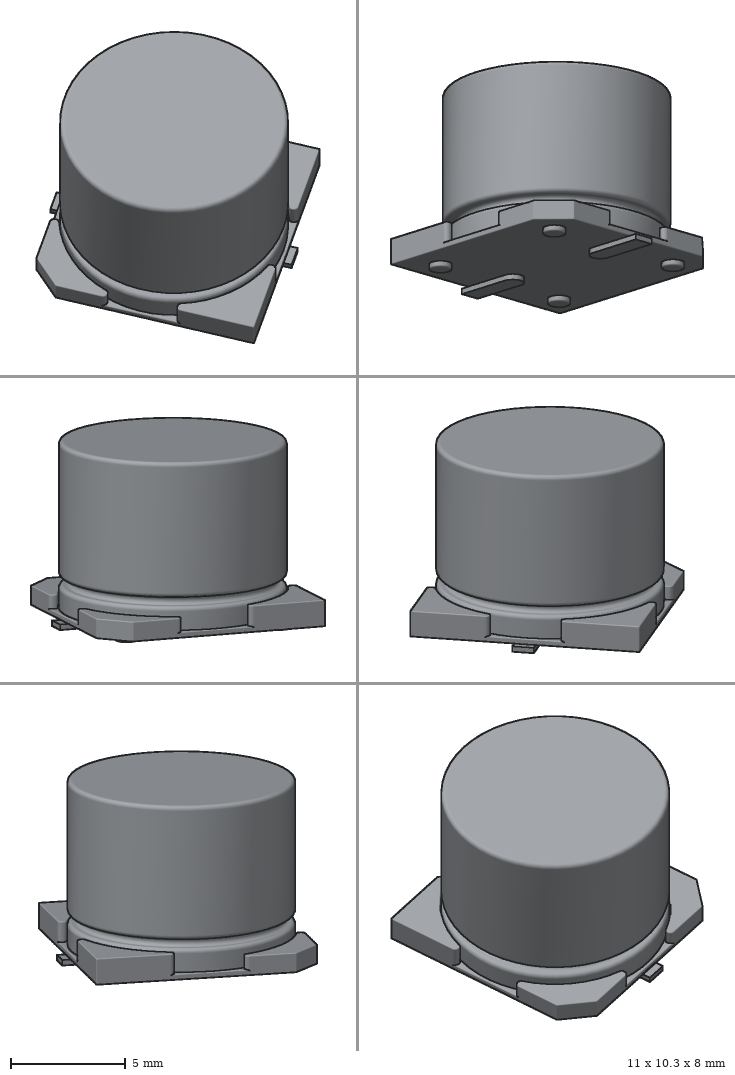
import cadquery as cq
import math

total_height = 8.0
lead_thickness = 0.25
floor_height = 0.52
low_corner_height = 1.14
high_corner_height = 1.44
bead_start = 1.36

base_size = 10.3
corner_chamfer = 1.25
edge_round = 0.05
pocket_radius = 5.05
notch_half_width = 1.6
notch_outer_round = 0.2
notch_inner_round = 0.15

can_radius = 10.0 / 2
bead_radius = 0.2
groove_radius = 0.2
groove_offset = 0.1
top_round = 0.2

lead_span = 11
lead_width = 0.97
lead_inner_end = 2.28
foot_diameter = 1.0
foot_offset = 3.6
foot_round = 0.08


def base_outline(height):
    """Square block standing on the lead plane, cut off at its two -X corners."""
    block = cq.Workplane("XY").workplane(offset=lead_thickness).rect(base_size, base_size)
    block = block.extrude(height - lead_thickness)
    return block.edges("|Z and <X").chamfer(corner_chamfer).edges("|Z").fillet(edge_round)


def base_plate():
    """Thin floor of the base, rounded along its top and bottom rims."""
    return base_outline(floor_height).faces("<Z or >Z").edges().fillet(edge_round)


def corner_block(x_side, y_side, height):
    """Raised corner around the can, with rounded ends facing the notches."""
    quadrant_centre = notch_half_width + base_size / 2
    start = lead_thickness + edge_round
    quadrant = (
        cq.Workplane("XY")
        .workplane(offset=start)
        .center(x_side * quadrant_centre, y_side * quadrant_centre)
        .rect(base_size, base_size)
        .extrude(height - start)
    )
    pocket = cq.Workplane("XY").circle(pocket_radius).extrude(total_height)
    block = base_outline(height).intersect(quadrant).cut(pocket)

    outer = base_size / 2
    inner = math.sqrt(pocket_radius**2 - notch_half_width**2)
    for reach, radius in ((outer, notch_outer_round), (inner, notch_inner_round)):
        for x, y in ((notch_half_width, reach), (reach, notch_half_width)):
            edge_middle = (x_side * x, y_side * y, (start + height) / 2)
            nearest = cq.selectors.NearestToPointSelector(edge_middle)
            block = block.edges("|Z").edges(nearest).fillet(radius)
    return block.faces(">Z").edges().fillet(edge_round)


def can():
    """Revolved can with a rounded top and a crimp groove between two beads."""
    groove_centre_z = bead_start + bead_radius + groove_radius
    bead_rim = can_radius - bead_radius
    groove_centre_r = bead_rim - groove_offset
    groove_low = groove_centre_z - groove_radius
    groove_high = groove_centre_z + groove_radius
    bead_end = groove_high + bead_radius
    shoulder = total_height - top_round
    diagonal = math.sqrt(0.5)
    profile = (
        cq.Workplane("XZ")
        .moveTo(0, floor_height - edge_round)
        .lineTo(can_radius, floor_height - edge_round)
        .lineTo(can_radius, bead_start)
        .threePointArc(
            (bead_rim + bead_radius * diagonal, bead_start + bead_radius * diagonal),
            (bead_rim, groove_low),
        )
        .lineTo(groove_centre_r, groove_low)
        .threePointArc(
            (groove_centre_r - groove_radius, groove_centre_z),
            (groove_centre_r, groove_high),
        )
        .lineTo(bead_rim, groove_high)
        .threePointArc(
            (bead_rim + bead_radius * diagonal, bead_end - bead_radius * diagonal),
            (can_radius, bead_end),
        )
        .lineTo(can_radius, shoulder)
        .threePointArc(
            (can_radius - top_round * (1 - diagonal), shoulder + top_round * diagonal),
            (can_radius - top_round, total_height),
        )
        .lineTo(0, total_height)
        .close()
    )
    return profile.revolve(360, (0, 0), (0, 1))


def lead(side):
    """Flat terminal lead with a rounded inner end, pointing out along X."""
    round_centre = lead_inner_end + lead_width / 2
    length = lead_span / 2 - round_centre
    strip = (
        cq.Workplane("XY")
        .center(side * (round_centre + length / 2), 0)
        .rect(length, lead_width)
        .extrude(lead_thickness)
    )
    tip = cq.Workplane("XY").center(side * round_centre, 0).circle(lead_width / 2).extrude(lead_thickness)
    return strip.union(tip)


def feet():
    """Four round stand-off feet under the base."""
    return (
        cq.Workplane("XY")
        .rect(2 * foot_offset, 2 * foot_offset, forConstruction=True)
        .vertices()
        .circle(foot_diameter / 2)
        .extrude(lead_thickness)
        .faces("<Z")
        .edges()
        .fillet(foot_round)
    )


result = base_plate()
for x_side, height in ((-1, low_corner_height), (1, high_corner_height)):
    for y_side in (-1, 1):
        result = result.union(corner_block(x_side, y_side, height))
    result = result.union(lead(x_side))
result = result.union(can()).union(feet())